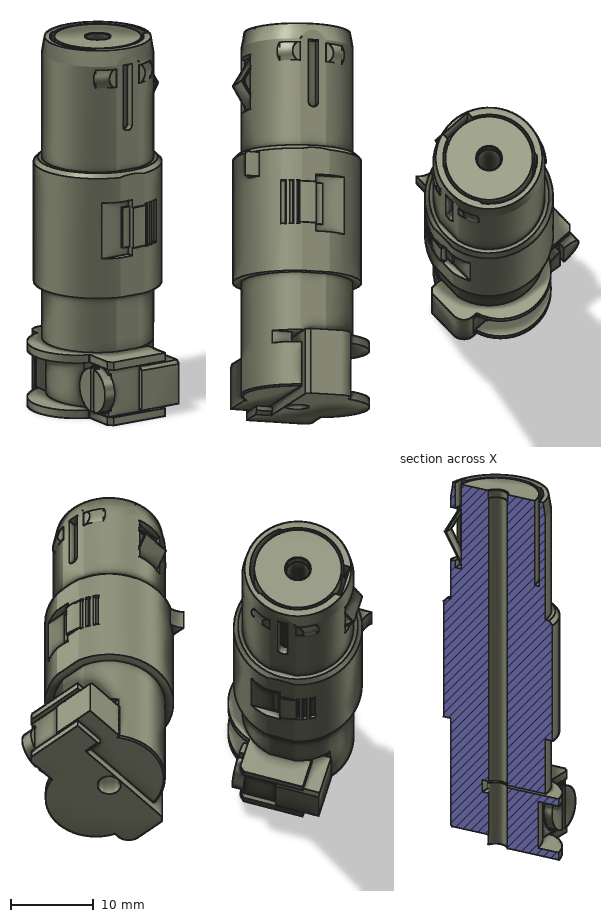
import cadquery as cq
import math

BARREL_R = 6.75
BARREL_FLAT_X = 6.55
BARREL_BOTTOM_Z = 8.17
TOP_Z = 45.95
NOSE_LENGTH = 1.93
NOSE_TIP_R = 6.42
COLLAR_R = 7.75
COLLAR_FLAT_X = 7.55
COLLAR_BOTTOM_Z = 15.25
COLLAR_TOP_Z = 30.8
COLLAR_CHAMFER = 0.52

INSERT_R = 5.25
GROOVE_R = 5.55
WIDE_GROOVE_R = 5.8
WIDE_GROOVE_HALF_X = 4.5
GROOVE_FLOOR_Z = 35.0
BORE_R = 1.41
BORE_MOUTH_R = 1.48
BORE_MOUTH_DEPTH = 1.0
BORE_CHAMFER = 0.1
TOP_NOTCH_WIDTH = 4.0
TOP_NOTCH_Y = 6.0

SLOT_WIDTH = 1.26
SLOT_BOTTOM_Z = 35.7
SLOT_TOP_Z = 43.95
BUMP_END_X = 5.5
BUMP_OUTER_X = 6.45
BUMP_BOTTOM_Z = 41.35
BUMP_TOP_Z = 43.6
BUMP_CREST_R = 6.95
BUMP_ROOT_R = 6.2

WINDOW_WIDTH = 3.64
WINDOW_BOTTOM_Z = 35.9
WINDOW_TOP_Z = 42.65
LATCH_TIP_Y = 7.57
LATCH_TIP_Z = 39.35
LATCH_SLOPE = 1.65
LATCH_THICKNESS = 0.25

POCKET_FLOOR_X = 6.7
POCKET_BACK_Y = 0.0
POCKET_BOTTOM_Z = 20.2
POCKET_TOP_Z = 27.2
TAB_R = 7.8
TAB_STEP_X = 7.0
TAB_STEP_FRONT_Y = -1.05
TAB_BACK_Y = 2.0
TAB_BOTTOM_Z = 21.2
TAB_TOP_Z = 26.25
GRIP_BACK_Y = 4.1
GRIP_FLOOR_R = 7.35
GRIP_BOTTOM_Z = 21.05
GRIP_TOP_Z = 26.4
GRIP_RIB_WIDTH = 0.37
GRIP_RIB_YS = (2.3, 3.15)
KEY_X = -4.6
KEY_TIP_Y = 7.96
KEY_ROOT_Y = 6.2
KEY_CURVE_MIDDLE = (-3.9, 7.4)
KEY_CURVE_END = (-3.0, 7.1)
KEY_BOTTOM_Z = 27.15
KEY_TOP_Z = 30.1

HALF_SHELL_BOTTOM_Z = 1.25
HALF_SHELL_CHAMFER = 0.2
NECK_LEFT_X = -4.87
NECK_RIGHT_X = 4.2
NECK_BOTTOM_Z = 6.67
NECK_FRONT_Y = 2.2

CLAMP_HEIGHT = 7.95
PLATE_THICKNESS = 1.0
CLAMP_LEFT_X = -8.52
CLAMP_RIGHT_X = 9.58
CLAMP_FRONT_Y = -4.6
CLAMP_BACK_Y = 1.45
BLOCK_RIGHT_X = -6.8
BLOCK_FILLET = 1.7
BLOCK_CHAMFER = 0.5
EAR_LEFT_X = 5.5
EAR_BACK_Y = 3.4
EAR_CHAMFER = 0.58
EAR_INNER_CHAMFER = 0.45
WEB_FRONT_Y = -4.4
WEB_RIGHT_X = 9.0
WEB_CROWN_Y = -5.76
WEB_CROWN_HALF_WIDTH = 4.2
FLANGE_X = -0.5
FLANGE_LEFT_X = -6.55
FLANGE_RIGHT_X = 5.2
FLANGE_FRONT_Y = -8.68
FLANGE_R = 6.1
LUG_BACK_Y = 5.4
LUG_CHAMFER = 0.42

SCREW_X = 6.98
SCREW_Z = CLAMP_HEIGHT / 2
SCREW_R = 2.75
SCREW_FRONT_Y = -5.42
RECESS_R = 3.02
RECESS_FLOOR_Y = -4.0
SCREW_SLOT_WIDTH = 0.65


def box(x0, x1, y0, y1, z0, z1):
    """Box between two opposite corners."""
    return cq.Workplane("XY").box(x1 - x0, y1 - y0, z1 - z0, centered=False).translate((x0, y0, z0))


def disc(radius, z0, z1, x=0, y=0):
    """Vertical cylinder between two heights."""
    return cq.Workplane("XY", origin=(x, y, z0)).circle(radius).extrude(z1 - z0)


def on_both_sides(shape):
    """A shape together with its mirror image across the YZ plane."""
    return shape.union(shape.mirror("YZ"))


def flatted(shape, flat_x):
    """Trim a shape to the slab |x| <= flat_x."""
    return shape.intersect(box(-flat_x, flat_x, -COLLAR_R, COLLAR_R, 0, TOP_Z))


def make_shell():
    nose_z = TOP_Z - NOSE_LENGTH
    barrel = (
        cq.Workplane("XZ")
        .moveTo(0, BARREL_BOTTOM_Z)
        .lineTo(BARREL_R, BARREL_BOTTOM_Z)
        .lineTo(BARREL_R, nose_z)
        .lineTo(NOSE_TIP_R, TOP_Z)
        .lineTo(0, TOP_Z)
        .close()
        .revolve(360, (0, 0, 0), (0, 1, 0))
    )
    collar = disc(COLLAR_R, COLLAR_BOTTOM_Z, COLLAR_TOP_Z).faces(">Z").chamfer(COLLAR_CHAMFER)
    return flatted(barrel, BARREL_FLAT_X).union(flatted(collar, COLLAR_FLAT_X))


def make_groove():
    narrow = disc(GROOVE_R, GROOVE_FLOOR_Z, TOP_Z)
    wide_back_y = -math.sqrt(GROOVE_R**2 - WIDE_GROOVE_HALF_X**2)
    wide = disc(WIDE_GROOVE_R, GROOVE_FLOOR_Z, TOP_Z).intersect(
        box(-WIDE_GROOVE_HALF_X, WIDE_GROOVE_HALF_X, -BARREL_R, wide_back_y, GROOVE_FLOOR_Z, TOP_Z)
    )
    half_notch = TOP_NOTCH_WIDTH / 2
    notch = box(-half_notch, half_notch, 0, TOP_NOTCH_Y, GROOVE_FLOOR_Z, TOP_Z)
    return narrow.union(wide).union(notch).cut(disc(INSERT_R, GROOVE_FLOOR_Z, TOP_Z))


def make_side_slots():
    half_width = SLOT_WIDTH / 2
    round_z = SLOT_BOTTOM_Z + half_width
    slot = box(INSERT_R, BARREL_R, -half_width, half_width, round_z, SLOT_TOP_Z)
    round_end = (
        cq.Workplane("YZ", origin=(INSERT_R, 0, round_z))
        .circle(half_width)
        .extrude(BARREL_R - INSERT_R)
    )
    return on_both_sides(slot.union(round_end))


def make_bump_seats():
    """Shallow flats beside the barrel flats, level with the outer face of the bumps."""
    flat_edge_y = math.sqrt(BARREL_R**2 - BARREL_FLAT_X**2)
    seat = box(BUMP_OUTER_X, BARREL_R, flat_edge_y, BARREL_R, BUMP_BOTTOM_Z, BUMP_TOP_Z)
    return on_both_sides(seat.union(seat.mirror("XZ")))


def make_bumps():
    """Four convex pads: a bulged ring kept only between two planes parallel to the flats."""
    ring = (
        cq.Workplane("XZ")
        .moveTo(BUMP_ROOT_R, BUMP_BOTTOM_Z)
        .lineTo(BARREL_R, BUMP_BOTTOM_Z)
        .threePointArc((BUMP_CREST_R, (BUMP_BOTTOM_Z + BUMP_TOP_Z) / 2), (BARREL_R, BUMP_TOP_Z))
        .lineTo(BUMP_ROOT_R, BUMP_TOP_Z)
        .close()
        .revolve(360, (0, 0, 0), (0, 1, 0))
    )
    side = box(BUMP_END_X, BUMP_OUTER_X, -BUMP_CREST_R, BUMP_CREST_R, BUMP_BOTTOM_Z, BUMP_TOP_Z)
    return on_both_sides(ring.intersect(side))


def make_window():
    half_width = WINDOW_WIDTH / 2
    return box(-half_width, half_width, INSERT_R, BARREL_R, WINDOW_BOTTOM_Z, WINDOW_TOP_Z)


def make_latch():
    root_y = INSERT_R - LATCH_THICKNESS
    outer_reach = LATCH_SLOPE * (LATCH_TIP_Y - root_y)
    inner_tip_y = LATCH_TIP_Y - LATCH_THICKNESS
    inner_reach = LATCH_SLOPE * (inner_tip_y - root_y)
    profile = [
        (root_y, LATCH_TIP_Z - outer_reach),
        (LATCH_TIP_Y, LATCH_TIP_Z),
        (root_y, LATCH_TIP_Z + outer_reach),
        (root_y, LATCH_TIP_Z + inner_reach),
        (inner_tip_y, LATCH_TIP_Z),
        (root_y, LATCH_TIP_Z - inner_reach),
    ]
    return cq.Workplane("YZ").polyline(profile).close().extrude(WINDOW_WIDTH / 2, both=True)


def make_collar_pockets():
    pocket = box(POCKET_FLOOR_X, TAB_R, -COLLAR_R, POCKET_BACK_Y, POCKET_BOTTOM_Z, POCKET_TOP_Z)
    grip_zone = box(0, TAB_R, TAB_BACK_Y, GRIP_BACK_Y, GRIP_BOTTOM_Z, GRIP_TOP_Z)
    grip = grip_zone.cut(disc(GRIP_FLOOR_R, GRIP_BOTTOM_Z, GRIP_TOP_Z))
    for rib_y in GRIP_RIB_YS:
        grip = grip.cut(box(0, TAB_R, rib_y, rib_y + GRIP_RIB_WIDTH, GRIP_BOTTOM_Z, GRIP_TOP_Z))
    return on_both_sides(pocket.union(grip))


def make_collar_tabs():
    tab = box(POCKET_FLOOR_X, TAB_R, POCKET_BACK_Y, TAB_BACK_Y, TAB_BOTTOM_Z, TAB_TOP_Z)
    tab = tab.intersect(disc(TAB_R, TAB_BOTTOM_Z, TAB_TOP_Z))
    step = box(POCKET_FLOOR_X, TAB_STEP_X, TAB_STEP_FRONT_Y, POCKET_BACK_Y, TAB_BOTTOM_Z, TAB_TOP_Z)
    return on_both_sides(tab.union(step))


def make_key():
    return (
        cq.Workplane("XY", origin=(0, 0, KEY_BOTTOM_Z))
        .moveTo(KEY_X, KEY_ROOT_Y)
        .lineTo(KEY_X, KEY_TIP_Y)
        .threePointArc(KEY_CURVE_MIDDLE, KEY_CURVE_END)
        .close()
        .extrude(KEY_TOP_Z - KEY_BOTTOM_Z)
    )


def make_half_shell():
    shell = disc(BARREL_R, HALF_SHELL_BOTTOM_Z, BARREL_BOTTOM_Z).faces("<Z").chamfer(HALF_SHELL_CHAMFER)
    shell = flatted(shell, BARREL_FLAT_X)
    shell = shell.cut(box(-BARREL_R, BARREL_R, -BARREL_R, 0, 0, BARREL_BOTTOM_Z))
    above_ledge = box(-BARREL_R, BARREL_R, 0, BARREL_R, NECK_BOTTOM_Z, BARREL_BOTTOM_Z)
    neck = box(NECK_LEFT_X, NECK_RIGHT_X, NECK_FRONT_Y, BARREL_R, NECK_BOTTOM_Z, BARREL_BOTTOM_Z)
    return shell.cut(above_ledge.cut(neck))


def screw_cylinder(radius, back_y, front_y):
    """Cylinder on the screw axis, between two Y positions."""
    return cq.Workplane("XZ", origin=(SCREW_X, back_y, SCREW_Z)).circle(radius).extrude(back_y - front_y)


def make_clamp_plate(z0, outer_side):
    """One flanged plate with its ear; outer_side selects the face that looks away from the web."""
    z1 = z0 + PLATE_THICKNESS
    body = box(BLOCK_RIGHT_X, EAR_LEFT_X + EAR_INNER_CHAMFER, CLAMP_FRONT_Y, CLAMP_BACK_Y, z0, z1)
    flange = disc(FLANGE_R, z0, z1, FLANGE_X, FLANGE_FRONT_Y + FLANGE_R)
    flange = flange.intersect(box(FLANGE_LEFT_X, FLANGE_RIGHT_X, FLANGE_FRONT_Y, 0, z0, z1))
    ear = box(EAR_LEFT_X, CLAMP_RIGHT_X, CLAMP_FRONT_Y, EAR_BACK_Y, z0, z1)
    ear = ear.edges("|Z and >X and <Y").chamfer(EAR_CHAMFER)
    ear = ear.faces(outer_side).edges("<X").chamfer(EAR_INNER_CHAMFER)
    return body.union(flange).union(ear)


def make_clamp():
    block = box(CLAMP_LEFT_X, BLOCK_RIGHT_X, CLAMP_FRONT_Y, CLAMP_BACK_Y, 0, CLAMP_HEIGHT)
    block = block.edges("|Z and <X and <Y").fillet(BLOCK_FILLET)
    block = block.edges("|Z and <X and >Y").chamfer(BLOCK_CHAMFER)
    web = box(BLOCK_RIGHT_X, WEB_RIGHT_X, WEB_FRONT_Y, CLAMP_BACK_Y, 0, CLAMP_HEIGHT)
    crown = (
        cq.Workplane("XY")
        .moveTo(FLANGE_X - WEB_CROWN_HALF_WIDTH, WEB_FRONT_Y)
        .threePointArc((FLANGE_X, WEB_CROWN_Y), (FLANGE_X + WEB_CROWN_HALF_WIDTH, WEB_FRONT_Y))
        .close()
        .extrude(CLAMP_HEIGHT)
    )
    lug = box(NECK_RIGHT_X, CLAMP_RIGHT_X, 0, LUG_BACK_Y, HALF_SHELL_BOTTOM_Z, NECK_BOTTOM_Z)
    lug = lug.faces(">Z").edges(">X").chamfer(LUG_CHAMFER)
    clamp = block.union(web).union(crown).union(lug)
    for plate_z, outer_side in ((0, "<Z"), (CLAMP_HEIGHT - PLATE_THICKNESS, ">Z")):
        clamp = clamp.union(make_clamp_plate(plate_z, outer_side))
    return clamp.cut(screw_cylinder(RECESS_R, RECESS_FLOOR_Y, CLAMP_FRONT_Y))


def make_screw_head():
    head = screw_cylinder(SCREW_R, RECESS_FLOOR_Y, SCREW_FRONT_Y)
    half_slot = SCREW_SLOT_WIDTH / 2
    slot = box(
        SCREW_X - half_slot, SCREW_X + half_slot,
        SCREW_FRONT_Y, CLAMP_FRONT_Y,
        SCREW_Z - SCREW_R, SCREW_Z + SCREW_R,
    )
    return head.cut(slot)


def make_bore():
    mouth = disc(BORE_MOUTH_R, TOP_Z - BORE_MOUTH_DEPTH, TOP_Z)
    cone_base = cq.Vector(0, 0, TOP_Z - BORE_CHAMFER)
    cone = cq.Solid.makeCone(BORE_MOUTH_R, BORE_MOUTH_R + BORE_CHAMFER, BORE_CHAMFER, cone_base)
    return disc(BORE_R, 0, TOP_Z).union(mouth).union(cq.Workplane(cone))


shell = make_shell().cut(make_bump_seats()).union(make_bumps())
for opening in (make_groove(), make_side_slots(), make_window(), make_collar_pockets()):
    shell = shell.cut(opening)

result = shell
for addition in (
    make_latch(),
    make_collar_tabs(),
    make_key(),
    make_half_shell(),
    make_clamp(),
    make_screw_head(),
):
    result = result.union(addition)
result = result.cut(make_bore())